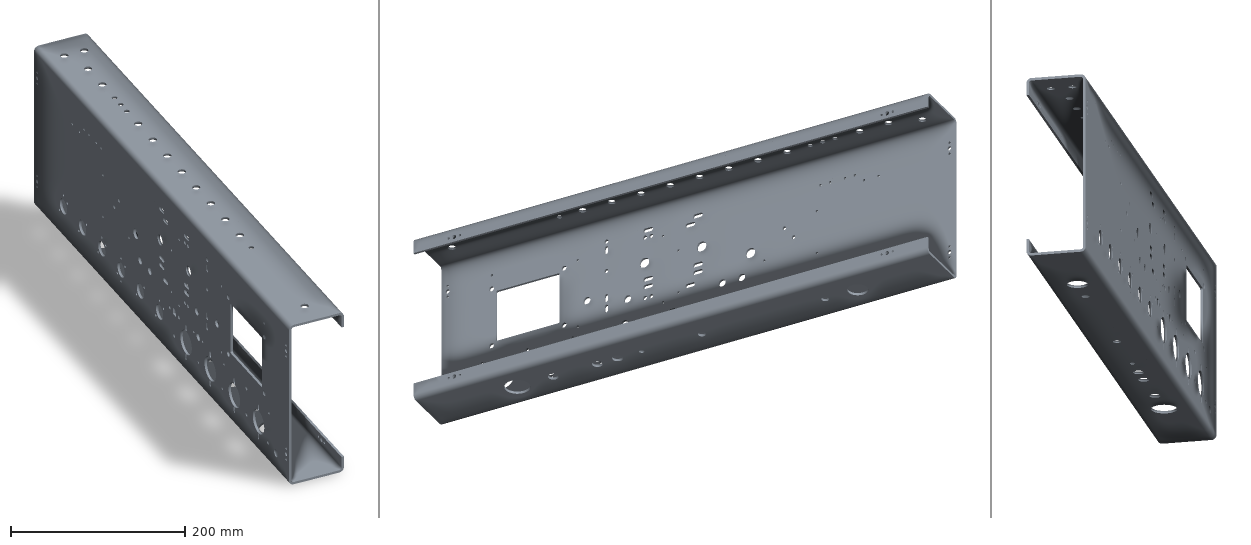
import cadquery as cq
length = 673
depth = 70.0
height = 216.0
sheet = 3.0
bend_radius = 6.0
inner_bend_radius = bend_radius - sheet
lip_height = 20

front_y = -depth / 2
upright = 90

rivet_hole = 3.15
screw_hole = 4.8
guide_hole = 5.3
standoff_hole = 6.4
bushing_hole = 9.5
jack_hole = 13.0
knob_hole = 19.0
port_hole = 24.0
meter_hole = 30.0

bracket_x = 328.5
bracket_z = 70.0
bracket_screw_offset = 7.5

knob_row_z = -65.0
knob_first_x = -259.0
knob_last_x = -5.5
knob_count = 6
knob_pitch = (knob_last_x - knob_first_x) / (knob_count - 1)
knob_pin_offset = 10.0
knob_key_offset = 15.5
knobs_keyed_above = [0, 2, 3, 5]
knobs_keyed_below = [3]

meter_row_z = -67
meter_first_x = 64.5
meter_last_x = 256
meter_count = 4
meter_pitch = (meter_last_x - meter_first_x) / (meter_count - 1)
meter_slot_offset = 19.5
meter_slot_length = 8.0
meter_slot_width = 3.5

window_x = 223.5
window_z = 18.0
window_width = 83.5
window_height = 67
window_corner_radius = 2.0
window_screw_spacing_x = 95.0
window_screw_spacing_z = 77.0

socket_x = 33.5
socket_z = -44.0
socket_side = 8.0
socket_screw_offset = 12.0

switch_slot_length = 13.0
switch_slot_width = 5.5
switch_slots = [
    (1.0, 76.0), (66.0, 76.0), (11.0, 66.5), (1.0, 10.0),
    (66.0, 10.0), (1.0, 0), (66.0, 0), (11.0, -15.0),
]
indicator_slot_length = 10.0
indicator_slot_width = 5.0
indicator_slots = [(120.5, 64.5), (120.5, 0), (120.5, -14.0)]
led_places = [
    (120.5, 76.0), (120.5, 36.5), (62.0, 66.5), (70.0, 66.5), (62.0, -15.0), (70.0, -15.0),
]
rivet_places = [
    (270.5, 75.0), (-204.5, 70.0), (-192.0, 70.0), (-172.0, 70.0), (-159.5, 70.0),
    (-235.5, 60.0), (-217.0, 60.0), (-155, 36.5), (-155, -20), (26.0, 36.5), (26.0, -20),
    (46.5, 62.0), (46.5, -27.5), (158.0, 62.0), (158.0, -27.5), (283.5, -40.0),
    (85.0, -42.0), (108.5, -42.0), (165.0, -40.5), (97.0, -76.0), (160.0, -76.0), (-86.0, -10.0),
]
screw_places = [
    (-112.5, 25.5), (-124.5, 10.0),
    (224.0, -40.0), (224.0, -75.5), (33.5, -75.5), (281.0, -81.5),
]
bushing_places = [
    (-56.5, -24.0), (-31.0, -24.0), (146.0, 4.0), (93.0, -9.5), (97.0, -42.0), (301.5, -84.0),
]
jack_places = [(-4.0, 33.0), (71.0, 33.0), (-68.0, 5.5)]

top_row_span = 268.0
top_row_count = 8
top_row_pitch = top_row_span / (top_row_count - 1)
top_bushings = [(-304.0, 13.5), (-304.0, -12.0), (-266.5, 0), (-229, 0), (305.0, 0)]
top_standoffs = [(-196.5, 0), (-180.5, 0), (-164.0, 0), (164.0, 0)]

bottom_row = [
    (-226.0, port_hole), (-184.0, bushing_hole), (-22.0, bushing_hole), (56.5, standoff_hole),
    (88.0, jack_hole), (114.5, jack_hole), (172.0, jack_hole), (219.5, meter_hole),
]

lip_fixing_x = 283.5
lip_fixing_z = 94


def channel():
    outer = (
        cq.Workplane("XY").box(length, depth, height)
        .edges("|X").fillet(bend_radius)
    )
    inner = (
        cq.Workplane("XY").box(length, depth - 2 * sheet, height - 2 * sheet)
        .edges("|X").fillet(inner_bend_radius)
    )
    gap = cq.Workplane("XY").box(length, depth, height - 2 * lip_height).translate((0, depth / 2, 0))
    return outer.cut(inner).cut(gap)


def web_sketch():
    return cq.Workplane("XZ", origin=(0, front_y + sheet, 0))


def web_holes(places, diameter):
    return web_sketch().pushPoints(places).circle(diameter / 2).extrude(sheet)


def web_slots(places, slot_length, slot_width, angle=0):
    return web_sketch().pushPoints(places).slot2D(slot_length, slot_width, angle).extrude(sheet)


def top_holes(places, diameter):
    top_sketch = cq.Workplane("XY", origin=(0, 0, height / 2 - sheet))
    return top_sketch.pushPoints(places).circle(diameter / 2).extrude(sheet)


def bottom_cutters():
    bottom_sketch = cq.Workplane("XY", origin=(0, 0, -height / 2))
    return [bottom_sketch.center(x, 0).circle(diameter / 2).extrude(sheet) for x, diameter in bottom_row]


def lip_cutters():
    lip_sketch = cq.Workplane("XZ", origin=(0, depth / 2, 0))
    centres = [(x, z) for x in (-lip_fixing_x, lip_fixing_x) for z in (-lip_fixing_z, lip_fixing_z)]
    screws = [(x + side * bracket_screw_offset, z) for x, z in centres for side in (-1, 1)]
    return [
        lip_sketch.pushPoints(centres).circle(guide_hole / 2).extrude(sheet),
        lip_sketch.pushPoints(screws).circle(rivet_hole / 2).extrude(sheet),
    ]


def bracket_cutters():
    centres = [(x, z) for x in (-bracket_x, bracket_x) for z in (-bracket_z, bracket_z)]
    screws = [(x, z + side * bracket_screw_offset) for x, z in centres for side in (-1, 1)]
    return [web_holes(centres, guide_hole), web_holes(screws, rivet_hole)]


def knob_cutters():
    centres = [(knob_first_x + i * knob_pitch, knob_row_z) for i in range(knob_count)]
    pins = [
        (x + side * knob_pin_offset, z + side * knob_pin_offset)
        for x, z in centres for side in (-1, 1)
    ]
    keys = [(centres[i][0], knob_row_z + knob_key_offset) for i in knobs_keyed_above]
    keys += [(centres[i][0], knob_row_z - knob_key_offset) for i in knobs_keyed_below]
    return [web_holes(centres, knob_hole), web_holes(pins + keys, rivet_hole)]


def meter_cutters():
    centres = [(meter_first_x + i * meter_pitch, meter_row_z) for i in range(meter_count)]
    slots = [(x, z + side * meter_slot_offset) for x, z in centres for side in (-1, 1)]
    return [
        web_holes(centres, meter_hole),
        web_slots(slots, meter_slot_length, meter_slot_width, upright),
    ]


def window_cutters():
    opening = (
        web_sketch().center(window_x, window_z).rect(window_width, window_height).extrude(sheet)
        .edges("|Y").fillet(window_corner_radius)
    )
    screws = (
        web_sketch().center(window_x, window_z)
        .rect(window_screw_spacing_x, window_screw_spacing_z, forConstruction=True)
        .vertices().circle(standoff_hole / 2).extrude(sheet)
    )
    return [opening, screws]


def socket_cutters():
    opening = web_sketch().center(socket_x, socket_z).rect(socket_side, socket_side).extrude(sheet)
    screws = [(socket_x + side * socket_screw_offset, socket_z) for side in (-1, 1)]
    return [opening, web_holes(screws, screw_hole)]


def top_cutters():
    row = [(-top_row_span / 2 + i * top_row_pitch, 0) for i in range(top_row_count)]
    return [top_holes(row + top_bushings, bushing_hole), top_holes(top_standoffs, standoff_hole)]


cutters = (
    bracket_cutters() + knob_cutters() + meter_cutters()
    + window_cutters() + socket_cutters() + top_cutters()
    + bottom_cutters() + lip_cutters()
)
cutters += [
    web_slots(switch_slots, switch_slot_length, switch_slot_width),
    web_slots(indicator_slots, indicator_slot_length, indicator_slot_width, upright),
    web_holes(led_places, guide_hole),
    web_holes(rivet_places, rivet_hole),
    web_holes(screw_places, screw_hole),
    web_holes(bushing_places, bushing_hole),
    web_holes(jack_places, jack_hole),
]

result = channel()
for cutter in cutters:
    result = result.cut(cutter)